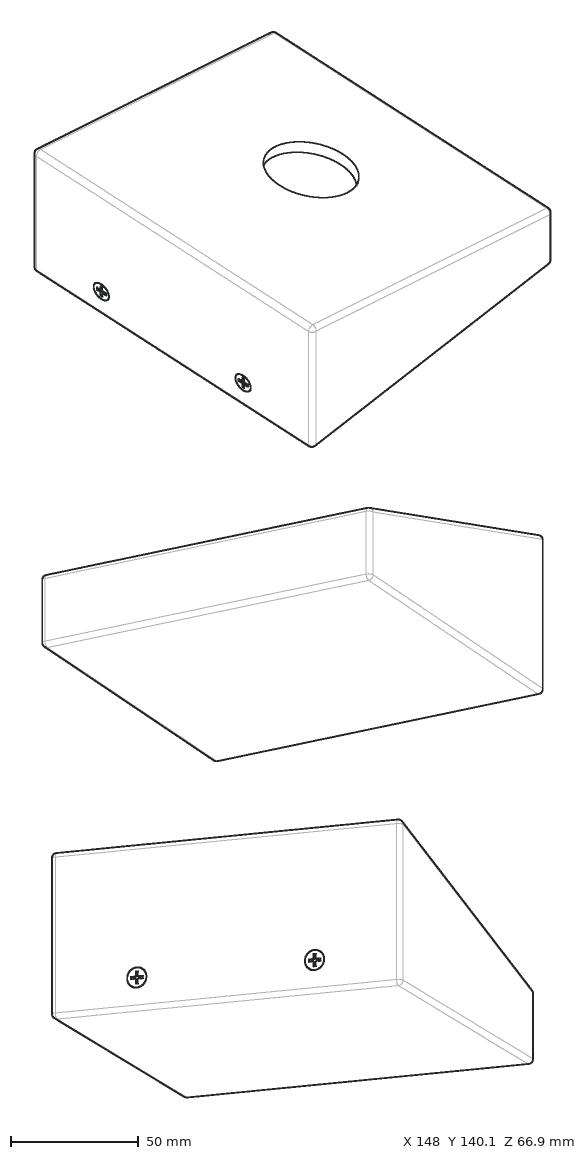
import math

import cadquery as cq

width = 148.0
slope_length = 145.0
slope_angle = 15.0
low_height = 30.0
edge_radius = 2.0

depth = slope_length * math.cos(math.radians(slope_angle))
high_height = low_height + slope_length * math.sin(math.radians(slope_angle))

pocket_diameter = 38.0
pocket_depth = 5.0
pocket_from_low_edge = 61.25

screw_spacing = 75.0
screw_height = 13.0
screw_hole_diameter = 8.25
screw_head_diameter = 8.0
screw_gap_depth = 2.0
cross_length = 5.0
cross_width = 1.0
cross_depth = 1.0


def make_body():
    """Wedge with the tall wall at -Y and every edge rounded."""
    tall_y = -depth / 2
    low_y = depth / 2
    profile = [(tall_y, 0), (low_y, 0), (low_y, low_height), (tall_y, high_height)]
    wedge = cq.Workplane("YZ").polyline(profile).close().extrude(width / 2, both=True)
    return wedge.edges().fillet(edge_radius)


def make_pocket():
    """Cylinder sunk into the sloping top along its normal."""
    angle = math.radians(slope_angle)
    center_y = depth / 2 - pocket_from_low_edge * math.cos(angle)
    center_z = low_height + pocket_from_low_edge * math.sin(angle)
    slope_plane = cq.Plane(
        origin=(0, center_y, center_z),
        xDir=(1, 0, 0),
        normal=(0, math.sin(angle), math.cos(angle)),
    )
    return cq.Workplane(slope_plane).circle(pocket_diameter / 2).extrude(-pocket_depth)


def make_screw_cut(x):
    """Clearance ring around a flush screw head, plus the cross recess in the head."""
    wall_plane = cq.Plane(origin=(x, -depth / 2, screw_height), xDir=(1, 0, 0), normal=(0, -1, 0))
    wall = cq.Workplane(wall_plane)
    ring = wall.circle(screw_hole_diameter / 2).circle(screw_head_diameter / 2).extrude(-screw_gap_depth)
    level_slot = wall.rect(cross_length, cross_width).extrude(-cross_depth)
    upright_slot = wall.rect(cross_width, cross_length).extrude(-cross_depth)
    return ring.union(level_slot.union(upright_slot))


result = make_body().cut(make_pocket())
for screw_x in (-screw_spacing / 2, screw_spacing / 2):
    result = result.cut(make_screw_cut(screw_x))